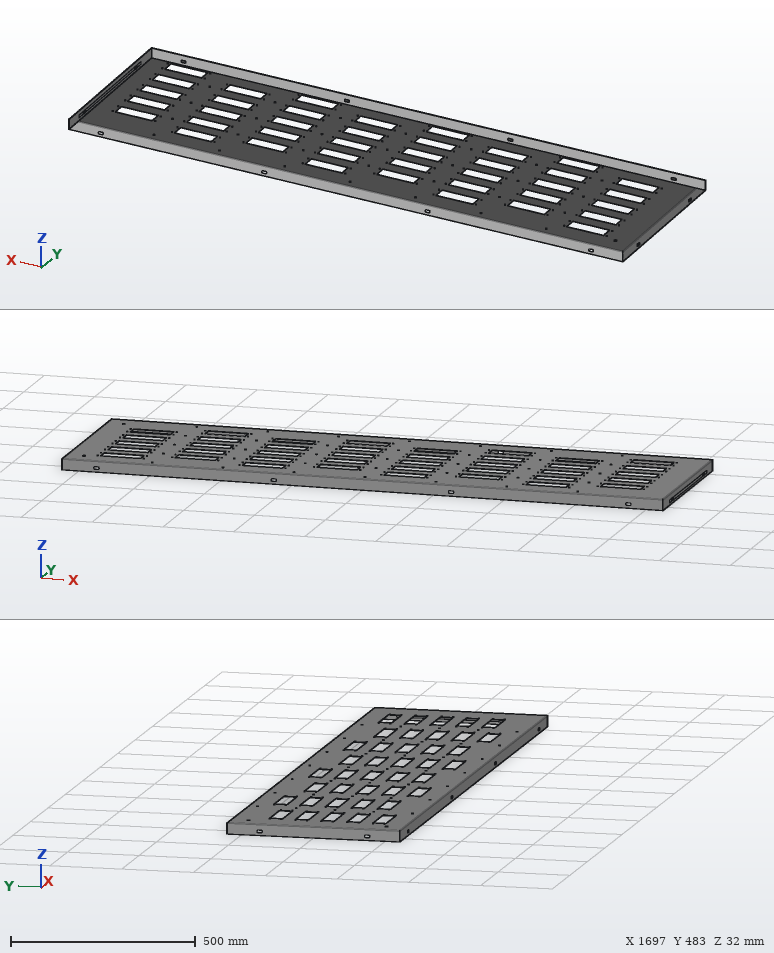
import cadquery as cq

overall_length = 1697.0
pad_relief = 0.5
tray_length = overall_length - pad_relief
tray_width = 483.0
tray_height = 32.0
sheet = 2.0
bend_radius = 2.2

pad_length = 360.0
pad_height = 8.0

column_pitch = 200.0
column_count = 8
row_pitch = 72.0
row_count = 5
stagger = row_pitch / 4
window_length = 112.5
window_width = row_pitch / 2

screw_diameter = 3.5
screw_spacing_x = 130.0
screw_spacing_y = 32.0

rivet_diameter = 5.0
rivet_columns = column_count - 1
rivet_rows = 5
rivet_pitch_y = 1.5 * row_pitch

mount_diameter = 8.0
mount_x = -799.0
mount_spacing_y = 384.0

slot_length = 15.0
slot_width = 7.0
slot_z = 11.5
side_slot_count = 4
side_slot_pitch = 500.0
end_slot_count = 2
end_slot_pitch = 300.0


def centred(count, pitch):
    """Positions of `count` items spaced by `pitch` about zero."""
    return [(i - (count - 1) / 2) * pitch for i in range(count)]


def rounded_block(length, width, height, radius):
    """Block standing on Z = 0 with its top rim rounded."""
    block = cq.Workplane("XY").box(length, width, height, centered=(True, True, False))
    return block.faces(">Z").edges().fillet(radius)


def tray():
    """Top sheet with a flange folded down on all four sides."""
    outer = rounded_block(tray_length, tray_width, tray_height, bend_radius)
    inner = rounded_block(
        tray_length - 2 * sheet,
        tray_width - 2 * sheet,
        tray_height - sheet,
        bend_radius - sheet,
    )
    return outer.cut(inner)


def raised_pad():
    """Pad centred on the +X flange at the height of the slots, rooted in the sheet."""
    pad = cq.Workplane("XY").box(
        sheet + pad_relief, pad_length, pad_height, centered=(False, True, True)
    )
    return pad.translate((tray_length / 2 - sheet, 0, slot_z))


def window_centres():
    """Neighbouring columns shift opposite ways along Y."""
    centres = []
    for column, x in enumerate(centred(column_count, column_pitch)):
        shift = stagger if column % 2 else -stagger
        centres += [(x, y + shift) for y in centred(row_count, row_pitch)]
    return centres


def screw_points():
    """Hole centres near the four corners of every window."""
    return [
        (x + dx, y + dy)
        for x, y in window_centres()
        for dx in centred(2, screw_spacing_x)
        for dy in centred(2, screw_spacing_y)
    ]


def rivet_points():
    """Regular grid of holes lying midway between the window columns."""
    return [
        (x, y)
        for x in centred(rivet_columns, column_pitch)
        for y in centred(rivet_rows, rivet_pitch_y)
    ]


def mount_points():
    return [(mount_x, y) for y in centred(2, mount_spacing_y)]


def windows():
    """Rectangular cutters through the top sheet."""
    outline = cq.Workplane("XY").pushPoints(window_centres()).rect(window_length, window_width)
    return outline.extrude(tray_height)


def round_holes(points, diameter):
    """Round cutters through the top sheet."""
    return cq.Workplane("XY").pushPoints(points).circle(diameter / 2).extrude(tray_height)


def flange_slots(plane, positions, reach):
    """Slot cutters running through both opposite flanges."""
    slots = (
        cq.Workplane(plane)
        .pushPoints([(position, slot_z) for position in positions])
        .slot2D(slot_length, slot_width)
    )
    return slots.extrude(reach, both=True)


result = tray().union(raised_pad())
result = result.cut(windows())
result = result.cut(round_holes(screw_points(), screw_diameter))
result = result.cut(round_holes(rivet_points(), rivet_diameter))
result = result.cut(round_holes(mount_points(), mount_diameter))
result = result.cut(flange_slots("XZ", centred(side_slot_count, side_slot_pitch), tray_width))
result = result.cut(flange_slots("YZ", centred(end_slot_count, end_slot_pitch), overall_length))